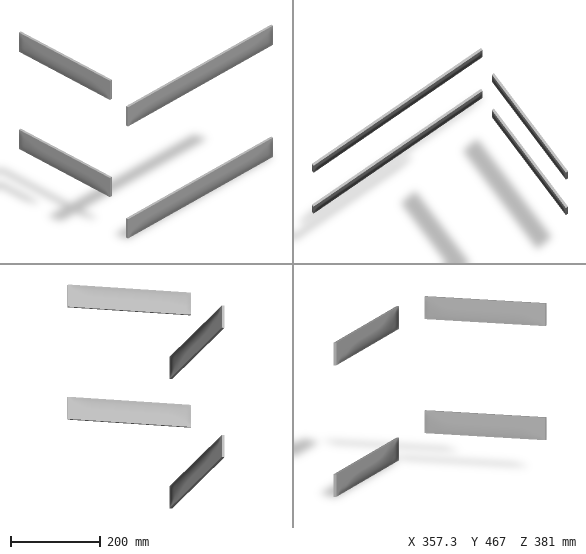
import cadquery as cq

TOTAL_X = 357.3
TOTAL_Y = 467.0
TOTAL_Z = 381.0

BAR_HEIGHT = 51.5
BAR_THICKNESS = 6.0
SHORT_BAR_LENGTH = 284.5

SHORT_BAR_Y = 17.0
SHORT_BAR_SPACING = 260.0
LONG_BAR_SPACING = 300.0
SHORT_BAR_TOP_Z = TOTAL_Z
LONG_BAR_BOTTOM_Z = 0.0


def flat_bar(size_x, size_y, corner):
    """Plain upright bar whose lowest corner is at the given point."""
    return cq.Workplane("XY").box(size_x, size_y, BAR_HEIGHT, centered=False).translate(corner)


short_bars = []
for level in range(2):
    bottom_z = SHORT_BAR_TOP_Z - BAR_HEIGHT - level * SHORT_BAR_SPACING
    short_bars.append(flat_bar(SHORT_BAR_LENGTH, BAR_THICKNESS, (0, SHORT_BAR_Y, bottom_z)))

long_bars = []
for level in range(2):
    bottom_z = LONG_BAR_BOTTOM_Z + level * LONG_BAR_SPACING
    long_bars.append(flat_bar(BAR_THICKNESS, TOTAL_Y, (TOTAL_X - BAR_THICKNESS, 0, bottom_z)))

result = cq.Compound.makeCompound([bar.val() for bar in short_bars + long_bars])